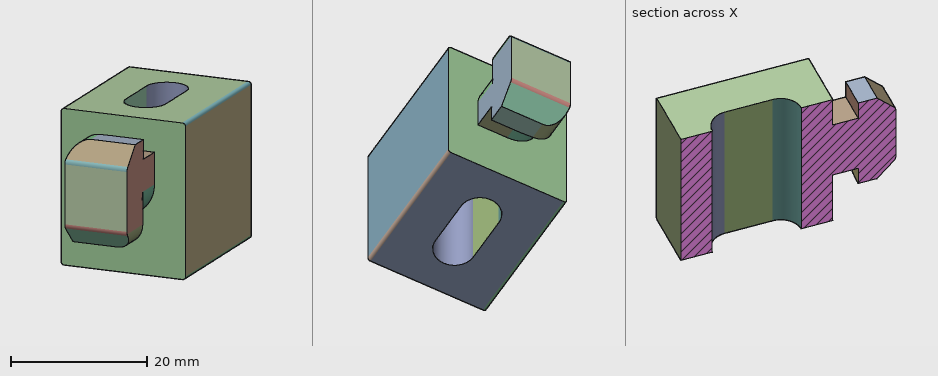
import cadquery as cq
import math

BLOCK_X = 20.0
BLOCK_Y = 24.0
BLOCK_Z = 24.0
BLOCK_EDGE_RADIUS = 0.5

SLOT_LENGTH = 14.0
SLOT_WIDTH = 6.4

AXIS_Z = 2.0
HEAD_WIDTH = 10.0
NECK_LENGTH = 4.0
HEAD_THICKNESS = 6.0
HEAD_HEIGHT = 16.0
HEAD_CORNER_RADIUS = 3.0
HEAD_CHAMFER = 3.0
NOSE_RADIUS = 1.0
RAMP_ANGLE = 3.0

BLOCK_FRONT_Y = -BLOCK_Y / 2
HEAD_BACK_Y = BLOCK_FRONT_Y - NECK_LENGTH
HEAD_FRONT_Y = HEAD_BACK_Y - HEAD_THICKNESS
HALF_WIDTH = HEAD_WIDTH / 2
HALF_HEIGHT = HEAD_HEIGHT / 2


def make_block():
    block = cq.Workplane("XY").box(BLOCK_X, BLOCK_Y, BLOCK_Z).edges("|Y").fillet(BLOCK_EDGE_RADIUS)
    slot = cq.Workplane("XY").slot2D(SLOT_LENGTH, SLOT_WIDTH, 90).extrude(BLOCK_Z / 2, both=True)
    return block.cut(slot)


def turning_prism(height, corner_radius, back_y, length):
    """Bar along -Y, rounded on the upper -X and lower +X corners so that it can turn."""
    half = height / 2
    inset = corner_radius * (1 - math.sqrt(0.5))
    flat_x = HALF_WIDTH - corner_radius
    flat_z = half - corner_radius
    return (
        cq.Workplane("XZ", origin=(0, back_y, AXIS_Z))
        .moveTo(HALF_WIDTH, half)
        .lineTo(-flat_x, half)
        .threePointArc((inset - HALF_WIDTH, half - inset), (-HALF_WIDTH, flat_z))
        .lineTo(-HALF_WIDTH, -half)
        .lineTo(flat_x, -half)
        .threePointArc((HALF_WIDTH - inset, inset - half), (HALF_WIDTH, -flat_z))
        .close()
        .extrude(length)
    )


def make_nose_profile():
    """Side profile of the head: both front edges chamfered and blended into the front."""
    chamfer_z = HALF_HEIGHT - HEAD_CHAMFER
    chamfer_y = HEAD_FRONT_Y + HEAD_CHAMFER
    return (
        cq.Workplane("YZ", origin=(0, 0, AXIS_Z))
        .moveTo(HEAD_BACK_Y, HALF_HEIGHT)
        .lineTo(chamfer_y, HALF_HEIGHT)
        .lineTo(HEAD_FRONT_Y, chamfer_z)
        .lineTo(HEAD_FRONT_Y, -chamfer_z)
        .lineTo(chamfer_y, -HALF_HEIGHT)
        .lineTo(HEAD_BACK_Y, -HALF_HEIGHT)
        .close()
        .extrude(HALF_WIDTH, both=True)
        .edges("|X and <Y")
        .fillet(NOSE_RADIUS)
    )


def make_ramp_cut(side):
    """Wedge off the back of the head: side -1 is the upper -X quarter, +1 the lower +X one."""
    ramp_depth = HALF_WIDTH * math.tan(math.radians(RAMP_ANGLE))
    return (
        cq.Workplane("XY", origin=(0, 0, AXIS_Z))
        .moveTo(0, HEAD_BACK_Y)
        .lineTo(side * HALF_WIDTH, HEAD_BACK_Y)
        .lineTo(side * HALF_WIDTH, HEAD_BACK_Y - ramp_depth)
        .close()
        .extrude(-side * HALF_HEIGHT)
    )


def make_head():
    head = turning_prism(HEAD_HEIGHT, HEAD_CORNER_RADIUS, HEAD_BACK_Y, HEAD_THICKNESS)
    head = head.intersect(make_nose_profile())
    for side in (-1, 1):
        head = head.cut(make_ramp_cut(side))
    return head


def make_neck():
    """Square neck with two opposite quarter-round corners, running into the middle of the head."""
    length = NECK_LENGTH + HEAD_THICKNESS / 2
    return turning_prism(HEAD_WIDTH, HALF_WIDTH, BLOCK_FRONT_Y, length)


result = make_block().union(make_neck()).union(make_head()).clean()